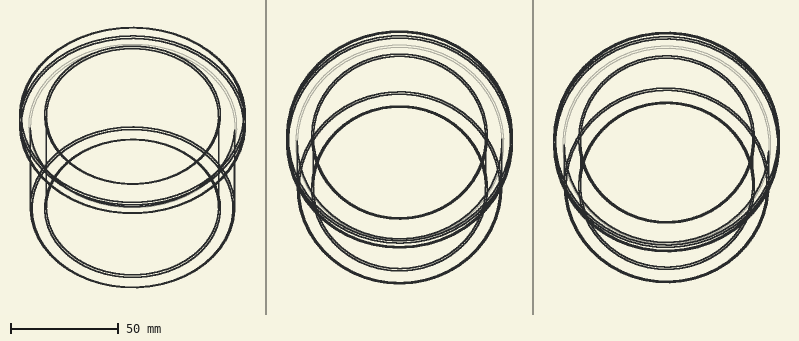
import cadquery as cq

flange_diameter = 105.0
body_diameter = 95.0
bore_diameter = 80.0
total_height = 70.0
flange_thickness = 8.0
edge_chamfer = 0.8
neck_fillet = 0.8
flange_underside = total_height - flange_thickness

body = cq.Workplane("XY").circle(body_diameter / 2).extrude(total_height)
body = body.faces("<Z").chamfer(edge_chamfer)

flange = (
    cq.Workplane("XY")
    .workplane(offset=flange_underside)
    .circle(flange_diameter / 2)
    .extrude(flange_thickness)
    .faces("<Z or >Z")
    .chamfer(edge_chamfer)
)

bore = cq.Workplane("XY").circle(bore_diameter / 2).extrude(total_height)
bushing = body.union(flange).cut(bore)
bushing = bushing.edges(cq.selectors.RadiusNthSelector(0)).chamfer(edge_chamfer)

corner_zone = cq.selectors.BoxSelector(
    (-body_diameter, -body_diameter, flange_underside - edge_chamfer / 2),
    (body_diameter, body_diameter, flange_underside + edge_chamfer / 2),
)
result = (
    bushing.edges(corner_zone)
    .edges(cq.selectors.RadiusNthSelector(0))
    .fillet(neck_fillet)
)